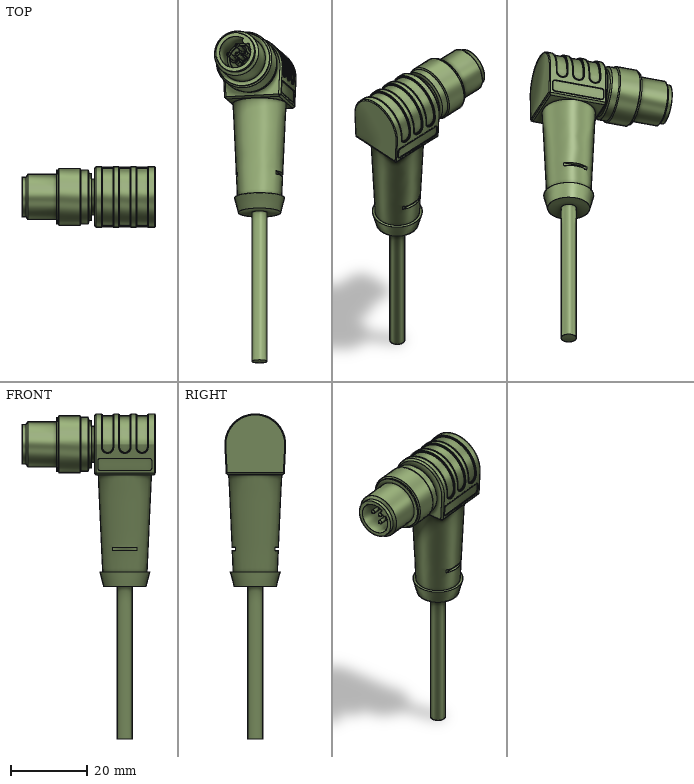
import cadquery as cq
import math


body_half_length = 8.0
plug_tip_x = -27.0
body_width = 16.0
body_radius = body_width / 2
body_top_z = body_radius
body_bottom_z = -8.1
total_height = 85.5
cable_end_z = body_top_z - total_height

side_top_z = -0.25
body_bottom_half_width = 7.6
body_edge_chamfer = 0.5
body_rear_chamfer = 0.25

groove_count = 3
groove_pitch = 4.5
groove_width = 3.25
groove_depth = 0.4
groove_end_z = -2.4
groove_lip = 0.25

panel_length = 14.2
panel_height = 3.25
panel_center_z = -5.3
panel_depth = 0.3
panel_corner = 0.7

tip_diameter = 10.4
tip_length = 1.0
sleeve_diameter = 12.0
sleeve_chamfer_end = 1.5
nut_start = 9.1
nut_shoulder_diameter = 14.2
nut_shoulder_end = 9.5
nut_diameter = 15.0
nut_full_start = 9.75
nut_full_end = 15.2
collar_start = 15.5
collar_diameter = 14.3
collar_end = 17.35
flange_start = 17.6
flange_diameter = 12.5
flange_end = 18.2
neck_diameter = 9.6

bore_diameter = 8.4
bore_depth = 8.1
pin_diameter = 1.0
pin_length = 6.4
pin_point_length = 0.5
pin_point_diameter = 0.3
pin_circle_radius = 2.3
pin_pocket_diameter = 2.0
pin_pocket_depth = 0.5
key_radius = 0.9
key_angle = 45
insert_diameter = 7.0
insert_key_radius = 1.45
insert_height = 0.5

boot_top_diameter = 14.0
boot_waist_diameter = 11.7
boot_ledge_z = -33.5
boot_ledge_diameter = 13.2
boot_bottom_z = -37.4
boot_bottom_diameter = 11.1
notch_height = 0.85
notch_center_z = -27.5
notch_half_spacing = 5.2
cable_diameter = 4.0

overlap = 0.4


def body_block(inset):
    """Arched body without grooves or chamfers, its top and sides moved inward by inset."""
    radius = body_radius - inset
    bottom_half = body_bottom_half_width - inset
    return (
        cq.Workplane("YZ", origin=(-body_half_length, 0, 0))
        .moveTo(-radius, side_top_z)
        .lineTo(-radius, 0)
        .threePointArc((0, radius), (radius, 0))
        .lineTo(radius, side_top_z)
        .lineTo(bottom_half, body_bottom_z)
        .lineTo(-bottom_half, body_bottom_z)
        .close()
        .extrude(2 * body_half_length)
    )


def side_prism(outline):
    """Extrude an XZ outline through the full width of the body."""
    return outline.extrude(body_radius + overlap, both=True)


def groove_cutter(center_x, width, depth):
    """Band around the arch with rounded ends on both flanks."""
    end_radius = width / 2
    end_center_z = groove_end_z + groove_width / 2
    outline = (
        cq.Workplane("XZ")
        .moveTo(center_x - end_radius, body_top_z + overlap)
        .lineTo(center_x - end_radius, end_center_z)
        .threePointArc(
            (center_x, end_center_z - end_radius),
            (center_x + end_radius, end_center_z),
        )
        .lineTo(center_x + end_radius, body_top_z + overlap)
        .close()
    )
    return side_prism(outline).cut(body_block(depth))


def make_body():
    body = body_block(0)
    body = body.faces("<X or <Z").edges().chamfer(body_edge_chamfer)
    body = body.faces(">X").edges().chamfer(body_rear_chamfer)
    for index in range(groove_count):
        center_x = (index - (groove_count - 1) / 2) * groove_pitch
        body = body.cut(groove_cutter(center_x, groove_width, groove_depth / 2))
        body = body.cut(groove_cutter(center_x, groove_width - 2 * groove_lip, groove_depth))
    panel = side_prism(
        cq.Workplane("XZ", origin=(0, 0, panel_center_z)).rect(panel_length, panel_height)
    )
    panel = panel.edges("|Y").fillet(panel_corner)
    return body.cut(panel.cut(body_block(panel_depth)))


def make_plug():
    """Turned outside of the sleeve, nut, collar and neck."""
    body_face = -body_half_length - plug_tip_x
    steps = [
        (0, tip_diameter),
        (tip_length, tip_diameter),
        (sleeve_chamfer_end, sleeve_diameter),
        (nut_start, sleeve_diameter),
        (nut_start, nut_shoulder_diameter),
        (nut_shoulder_end, nut_shoulder_diameter),
        (nut_full_start, nut_diameter),
        (nut_full_end, nut_diameter),
        (collar_start, collar_diameter),
        (collar_end, collar_diameter),
        (flange_start, flange_diameter),
        (flange_end, flange_diameter),
        (flange_end, neck_diameter),
        (body_face + overlap, neck_diameter),
    ]
    profile = cq.Workplane("XY").moveTo(plug_tip_x, 0)
    for distance, diameter in steps:
        profile = profile.lineTo(plug_tip_x + distance, diameter / 2)
    profile = profile.lineTo(plug_tip_x + body_face + overlap, 0).close()
    return profile.revolve(360, (0, 0, 0), (1, 0, 0))


def rod_along_x(start_x, length, diameter, y=0, z=0):
    return cq.Workplane("YZ", origin=(start_x, y, z)).circle(diameter / 2).extrude(length)


def make_pin(y, z, floor_x):
    """Contact pin with a tapered point, standing in the bottom of its pocket."""
    root_x = floor_x + pin_pocket_depth
    point_base_x = floor_x - pin_length + pin_point_length
    shaft = rod_along_x(point_base_x, root_x - point_base_x + overlap, pin_diameter, y, z)
    point = (
        cq.Workplane("YZ", origin=(point_base_x, y, z))
        .circle(pin_diameter / 2)
        .workplane(offset=-pin_point_length)
        .circle(pin_point_diameter / 2)
        .loft()
    )
    return shaft.union(point)


def keyed_round(start_x, length, diameter, notch_radius):
    """Cylinder with a round notch in its side where the key of the socket stands."""
    key_y = -bore_diameter / 2 * math.cos(math.radians(key_angle))
    key_z = bore_diameter / 2 * math.sin(math.radians(key_angle))
    notch = rod_along_x(start_x, length, 2 * notch_radius, key_y, key_z)
    return rod_along_x(start_x, length, diameter).cut(notch)


def add_socket(plug):
    """Keyed bore with a raised contact insert on its floor and five pins."""
    floor_x = plug_tip_x + bore_depth
    plug = plug.cut(keyed_round(plug_tip_x, bore_depth + insert_height, bore_diameter, key_radius))
    plug = plug.union(keyed_round(floor_x, insert_height, insert_diameter, insert_key_radius))
    positions = [(0, 0)]
    positions += [(side * pin_circle_radius, 0) for side in (-1, 1)]
    positions += [(0, side * pin_circle_radius) for side in (-1, 1)]
    for y, z in positions:
        plug = plug.cut(rod_along_x(floor_x, pin_pocket_depth, pin_pocket_diameter, y, z))
        plug = plug.union(make_pin(y, z, floor_x))
    return plug


def make_boot_and_cable():
    boot = (
        cq.Workplane("XZ")
        .moveTo(0, body_bottom_z)
        .lineTo(boot_top_diameter / 2, body_bottom_z)
        .lineTo(boot_waist_diameter / 2, boot_ledge_z)
        .lineTo(boot_ledge_diameter / 2, boot_ledge_z)
        .lineTo(boot_bottom_diameter / 2, boot_bottom_z)
        .lineTo(cable_diameter / 2, boot_bottom_z)
        .lineTo(cable_diameter / 2, cable_end_z)
        .lineTo(0, cable_end_z)
        .close()
        .revolve(360, (0, 0, 0), (0, 1, 0))
    )
    for side in (-1, 1):
        notch = cq.Workplane("XY").box(boot_top_diameter, boot_top_diameter, notch_height)
        notch_y = side * (notch_half_spacing + boot_top_diameter / 2)
        boot = boot.cut(notch.translate((0, notch_y, notch_center_z)))
    return boot


result = make_body().union(add_socket(make_plug())).union(make_boot_and_cable())